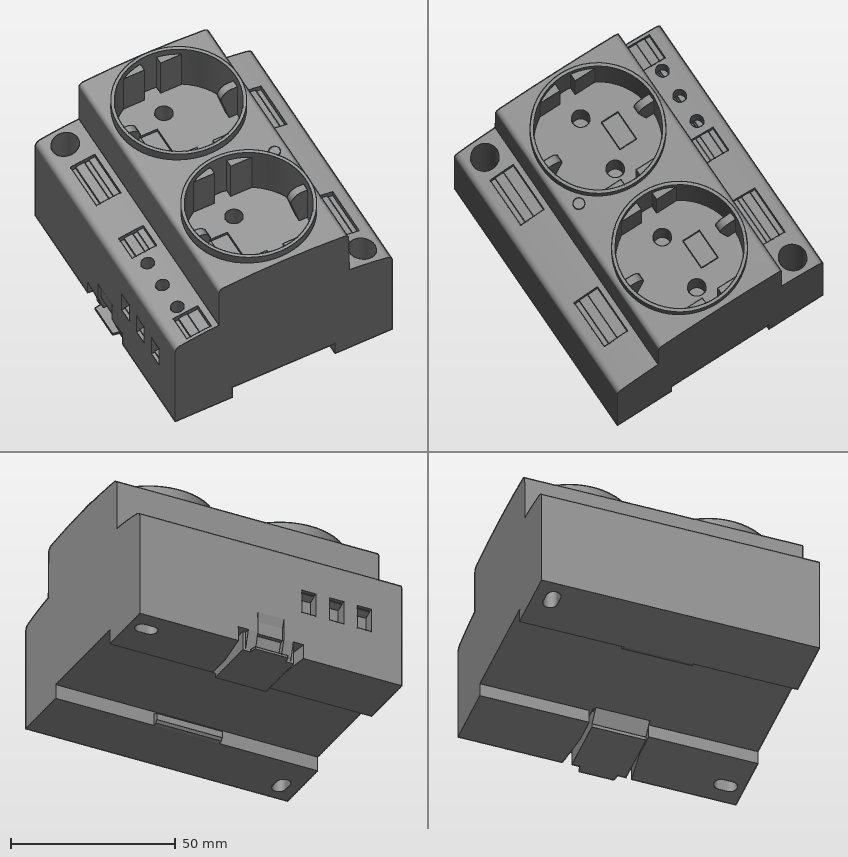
import cadquery as cq
import math


length = 90
depth = 75.1
mid_y = depth / 2
tower_half_depth = 22.4
tower_edge_z = 56.3
tower_crown_z = 57.4
shoulder_inner_z = 38.8
shoulder_outer_z = 36.4
shoulder_rise = 0.3
tower_back_lean = 0.3
shoulder_edge_radius = 2.3
tower_edge_radius = 1.9

rail_front_y = 19.8
rail_back_y = 55.3
rail_depth = 4.95
hook_reach = 1.9
hook_width = 22.5
hook_underside_run = 0.7
hook_underside_z = 0.3
hook_nose_low_z = 1.1
hook_nose_high_z = 3.3
hook_top_z = 4.1
hook_root = 0.9
latch_width = 17.5
latch_wall = 1.0
latch_drop = 1.6
latch_front_y = 1.8
tongue_tip_y = 23.3
tongue_tip_z = 3.4
tongue_neck_y = 20.8
tongue_neck_z = 4.0
tongue_underside_z = -0.4
lip_overhang = 0.45
lip_thickness = 0.8
lip_width = 11.25
lip_root_width = 12.1
channel_width = 19.3
channel_mouth_width = 22.4
channel_mouth_depth = 11.7
window_width = 8.9
window_top_z = 12.1
window_sill_z = 9.3
window_depth = 0.9
grip_depth = 2.2

socket_spacing = 45
rim_radius = 20.7
rim_wall = 1.1
bowl_radius = rim_radius - rim_wall
rim_top_z = 60.0
bowl_floor_z = 42.7
pin_spacing = 19.1
pin_radius = 2.8
pin_depth = 9.9
guide_inner_x = 16.8
guide_gap = 5.6
guide_top_z = 57.6
clip_width = 2.6
clip_reach = 5.7
clip_flat = 1.8
clip_foot_reach = 2.9
clip_top_z = 56.25
clip_nose_z = 52.7
shutter_width = 10.3
shutter_height = 6.0
shutter_offset_y = 7.65
shutter_depth = 0.9

lamp_x = 6.5
lamp_y = 55.1
lamp_radius = 1.8
lamp_top_z = 57.15

label_outer = 4.6
label_trough = 6.4
label_crease = 9.45
label_step = 11.0
label_inner = 13.05
label_floor_drop = 1.3
label_groove_drop = 1.6
label_trough_drop = 1.9
front_labels = [(-30.9, -14.2, label_step), (0.2, 8.8, label_step), (35.2, 43.9, label_inner)]
back_labels = [(-30.9, -14.2, label_inner), (15.2, 32.2, label_inner)]

terminal_xs = [13.05, 22.6, 32.1]
screw_y = 7.65
screw_radius = 2.1
screw_head_z = 31.5
screw_slit_width = 0.6
screw_slit_depth = 0.9
wire_width = 4.9
wire_z = 20.4
wire_mouth_height = 7.9
wire_throat_height = 7.2
wire_back_height = 5.6
wire_mouth_depth = 1.2
wire_depth = 3.7

mount_x = 39.1
mount_inset_y = 7.2
mount_head_radius = 4.3
mount_head_z = 7.2
mount_slot_length = 7.5
mount_slot_width = 4.6


def prism(points, width):
    """Y-Z outline extruded symmetrically along X."""
    return cq.Workplane("YZ").polyline(points).close().extrude(width / 2, both=True)


def block(x_range, y_range, z_range):
    sizes = [high - low for low, high in (x_range, y_range, z_range)]
    corner = (x_range[0], y_range[0], z_range[0])
    return cq.Workplane("XY").box(*sizes, centered=False).translate(corner)


def cylinder(x, y, radius, bottom_z, top_z):
    return cq.Workplane("XY", origin=(x, y, bottom_z)).circle(radius).extrude(top_z - bottom_z)


def mirrored(solid):
    """Copy on the other side of the housing's lengthwise mid-plane."""
    return solid.mirror("XZ", (0, mid_y, 0))


def make_housing():
    tower_front_y = mid_y - tower_half_depth
    tower_back_y = mid_y + tower_half_depth
    shoulder_mid_y = tower_front_y / 2
    shoulder_mid_z = (shoulder_inner_z + shoulder_outer_z) / 2 + shoulder_rise
    housing = (
        cq.Workplane("YZ")
        .moveTo(0, 0)
        .lineTo(0, shoulder_outer_z)
        .threePointArc((shoulder_mid_y, shoulder_mid_z), (tower_front_y, shoulder_inner_z))
        .lineTo(tower_front_y, tower_edge_z)
        .threePointArc((mid_y, tower_crown_z), (tower_back_y, tower_edge_z))
        .lineTo(tower_back_y + tower_back_lean, shoulder_inner_z)
        .threePointArc((depth - shoulder_mid_y, shoulder_mid_z), (depth, shoulder_outer_z))
        .lineTo(depth, 0)
        .lineTo(rail_back_y, 0)
        .lineTo(rail_back_y, rail_depth)
        .lineTo(rail_front_y, rail_depth)
        .lineTo(rail_front_y, 0)
        .close()
        .extrude(length / 2, both=True)
    )
    for y in (0, depth):
        housing = housing.edges(cq.NearestToPointSelector((0, y, shoulder_outer_z))).fillet(shoulder_edge_radius)
    for y in (tower_front_y, tower_back_y):
        housing = housing.edges(cq.NearestToPointSelector((0, y, tower_edge_z))).fillet(tower_edge_radius)
    return housing


def make_hook():
    """Fixed hook on the back wall of the rail slot, rooted a little way into the wall."""
    nose_y = rail_back_y - hook_reach
    root_y = rail_back_y + hook_root
    outline = [
        (root_y, 0),
        (rail_back_y, 0),
        (nose_y + hook_underside_run, hook_underside_z),
        (nose_y, hook_nose_low_z),
        (nose_y, hook_nose_high_z),
        (rail_back_y, hook_top_z),
        (root_y, hook_top_z),
    ]
    return prism(outline, hook_width)


def make_latch_channel():
    mouth = channel_mouth_width / 2
    throat = channel_width / 2
    half_outline = [(mouth, 0), (throat, channel_mouth_depth), (throat, rail_front_y)]
    mirrored_half = [(-x, y) for x, y in reversed(half_outline)]
    return cq.Workplane("XY").polyline(half_outline + mirrored_half).close().extrude(rail_depth)


def make_window():
    """Finger window above the latch, with a sloping top."""
    outline = [(0, 0), (0, window_top_z), (window_depth, window_sill_z), (window_depth, 0)]
    return prism(outline, window_width)


def make_latch():
    bottom_z = -latch_drop
    lip_top_z = bottom_z + lip_thickness
    tongue_outline = [
        (latch_front_y, bottom_z),
        (rail_front_y, bottom_z),
        (rail_front_y, tongue_underside_z),
        (tongue_tip_y, tongue_tip_z),
        (tongue_neck_y, tongue_neck_z),
        (tongue_neck_y, rail_depth),
        (latch_front_y, rail_depth),
    ]
    latch = prism(tongue_outline, latch_width)
    slope = [
        (0, rail_depth),
        (latch_front_y, lip_top_z),
        (2 * latch_front_y, lip_top_z),
        (2 * latch_front_y, rail_depth),
    ]
    latch = latch.union(prism(slope, latch_width - 2 * latch_wall))
    grip = [
        (0, rail_depth),
        (grip_depth, rail_depth),
        (latch_front_y + grip_depth, lip_top_z),
        (0, lip_top_z),
    ]
    latch = latch.cut(prism(grip, window_width))
    lip = (
        cq.Workplane("XY", origin=(0, 0, bottom_z))
        .moveTo(-lip_width / 2, -lip_overhang)
        .lineTo(lip_width / 2, -lip_overhang)
        .lineTo(lip_root_width / 2, latch_front_y)
        .lineTo(-lip_root_width / 2, latch_front_y)
        .close()
        .extrude(lip_thickness)
    )
    return latch.union(lip)


def make_clip():
    """Earth clip standing on the bowl wall, on the -Y side of the socket centre at the origin."""
    wall_y = -bowl_radius
    flat_y = wall_y + clip_flat
    nose_y = wall_y + clip_reach
    bend = math.radians(45)
    arc_mid_y = flat_y + (nose_y - flat_y) * math.sin(bend)
    arc_mid_z = clip_nose_z + (clip_top_z - clip_nose_z) * math.cos(bend)
    root_y = -(bowl_radius + rim_radius) / 2
    return (
        cq.Workplane("YZ")
        .moveTo(root_y, bowl_floor_z)
        .lineTo(root_y, clip_top_z)
        .lineTo(flat_y, clip_top_z)
        .threePointArc((arc_mid_y, arc_mid_z), (nose_y, clip_nose_z))
        .lineTo(wall_y + clip_foot_reach, bowl_floor_z)
        .close()
        .extrude(clip_width / 2, both=True)
    )


def add_socket(body, center_x):
    """Round socket bowl with its raised rim, guides, earth clips, pin holes and shutter recess."""
    center = (center_x, mid_y, 0)
    body = body.union(cylinder(center_x, mid_y, rim_radius, bowl_floor_z, rim_top_z))
    body = body.cut(cylinder(center_x, mid_y, bowl_radius, bowl_floor_z, rim_top_z))

    guides = cylinder(0, 0, bowl_radius + rim_wall / 2, bowl_floor_z, guide_top_z)
    across = (-rim_radius, rim_radius)
    guide_height = (bowl_floor_z, guide_top_z)
    guides = guides.cut(block((-guide_inner_x, guide_inner_x), across, guide_height))
    guides = guides.cut(block(across, (-guide_gap / 2, guide_gap / 2), guide_height))
    body = body.union(guides.translate(center))

    for angle in (0, 180):
        clip = make_clip().rotate((0, 0, 0), (0, 0, 1), angle)
        body = body.union(clip.translate(center))

    for side in (-1, 1):
        pin_x = center_x + side * pin_spacing / 2
        body = body.cut(cylinder(pin_x, mid_y, pin_radius, bowl_floor_z - pin_depth, bowl_floor_z))
    shutter = cq.Workplane("XY").box(shutter_width, shutter_height, 2 * shutter_depth)
    return body.cut(shutter.translate((center_x, mid_y - shutter_offset_y, bowl_floor_z)))


def make_label_recess(start_x, end_x, groove_end):
    """Stepped recess on the front, with a floor that follows the slope of the front shoulder."""
    slope = (shoulder_inner_z - shoulder_outer_z) / (mid_y - tower_half_depth)

    def floor_point(y, drop):
        return (y, shoulder_outer_z + shoulder_rise + slope * y - drop)

    outline = [
        (label_outer, shoulder_inner_z),
        floor_point(label_outer, label_trough_drop),
        floor_point(label_trough, label_trough_drop),
        floor_point(label_trough, label_floor_drop),
        floor_point(label_crease, label_floor_drop),
        floor_point(label_crease, label_groove_drop),
        floor_point(groove_end, label_groove_drop),
    ]
    if groove_end < label_inner:
        outline += [floor_point(groove_end, label_floor_drop), floor_point(label_inner, label_floor_drop)]
    outline.append((label_inner, shoulder_inner_z))
    return prism(outline, end_x - start_x).translate(((start_x + end_x) / 2, 0, 0))


def cut_terminal(body, x):
    """Tapered wire entry in the front face and the slotted clamping screw above it."""
    mouth, throat, back = wire_mouth_height / 2, wire_throat_height / 2, wire_back_height / 2
    half = [(0, mouth), (wire_mouth_depth, mouth), (wire_mouth_depth, throat), (wire_depth, back)]
    lower_half = [(y, -z) for y, z in reversed(half)]
    body = body.cut(prism(half + lower_half, wire_width).translate((x, 0, wire_z)))
    body = body.cut(cylinder(x, screw_y, screw_radius, screw_head_z, shoulder_inner_z))
    half_slit = screw_slit_width / 2
    slit = block(
        (x - screw_radius, x + screw_radius),
        (screw_y - half_slit, screw_y + half_slit),
        (screw_head_z - screw_slit_depth, screw_head_z),
    )
    return body.cut(slit)


def make_mounting_hole(x, y, slot_angle):
    """Slot through the base, opening into a round well for the screw head."""
    slot = (
        cq.Workplane("XY")
        .center(x, y)
        .slot2D(mount_slot_length, mount_slot_width, slot_angle)
        .extrude(mount_head_z)
    )
    return slot.union(cylinder(x, y, mount_head_radius, mount_head_z, shoulder_inner_z))


result = make_housing().union(make_hook())
result = result.cut(make_latch_channel()).cut(make_window()).union(make_latch())
for socket_x in (-socket_spacing / 2, socket_spacing / 2):
    result = add_socket(result, socket_x)
result = result.union(cylinder(lamp_x, lamp_y, lamp_radius, shoulder_inner_z, lamp_top_z))
for label in front_labels:
    result = result.cut(make_label_recess(*label))
for label in back_labels:
    result = result.cut(mirrored(make_label_recess(*label)))
for terminal_x in terminal_xs:
    result = cut_terminal(result, terminal_x)
result = result.cut(make_mounting_hole(-mount_x, mount_inset_y, 0))
result = result.cut(make_mounting_hole(mount_x, depth - mount_inset_y, 90))